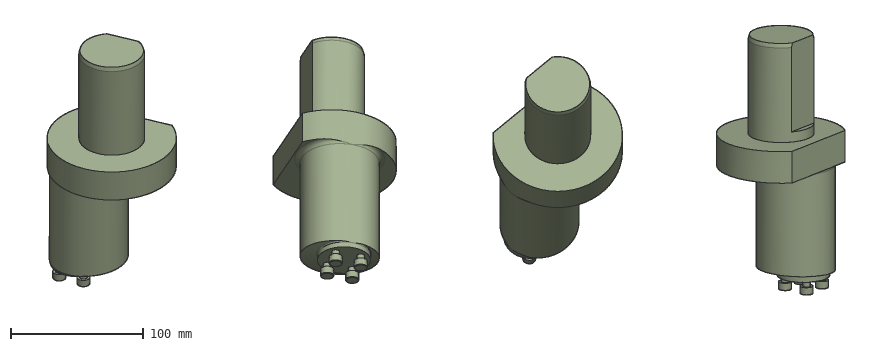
import cadquery as cq
import math


shank_diameter = 50.0
shank_length = 78.0
shank_flat_y = 20.2
shank_flat_start = 8.0
lead_in_length = 3.3
lead_in_angle = 15.0

flange_diameter = 98.0
flange_thickness = 25.0
flange_flat_y = 35.0

body_diameter = 60.0
body_fillet = 4.0
body_x = (body_diameter - flange_diameter) / 2

nose_diameter = 40.0
nose_thickness = 5.0
nose_cone_angle = 15.0
nose_fillet = 1.0
nose_x = (nose_diameter - flange_diameter) / 2

screw_diameter = 6.0
screw_gap = 4.53
screw_head_diameter = 10.0
screw_head_height = 6.0
screw_head_chamfer = 0.5
screw_spacing = 20.0

overall_height = 207.53

flange_bottom = -flange_thickness
screw_bottom = shank_length - overall_height
screw_head_top = screw_bottom + screw_head_height
nose_bottom = screw_head_top + screw_gap
nose_top = nose_bottom + nose_thickness


def cylinder(diameter, bottom, top, x=0.0, y=0.0):
    """Upright cylinder between two Z levels."""
    return cq.Workplane("XY", origin=(x, y, bottom)).circle(diameter / 2).extrude(top - bottom)


def cut_beyond_y(solid, y_limit, bottom, top):
    """Remove everything beyond y_limit between two Z levels."""
    depth = flange_diameter
    cutter = cq.Workplane("XY", origin=(0, y_limit + depth / 2, bottom))
    return solid.cut(cutter.rect(flange_diameter, depth).extrude(top - bottom))


def make_shank():
    lead_in_depth = lead_in_length * math.tan(math.radians(lead_in_angle))
    shank = cylinder(shank_diameter, flange_bottom, shank_length)
    shank = shank.faces(">Z").chamfer(lead_in_length, lead_in_depth)
    return cut_beyond_y(shank, shank_flat_y, shank_flat_start, shank_length)


def make_flange():
    flange = cylinder(flange_diameter, flange_bottom, 0)
    return cut_beyond_y(flange, flange_flat_y, flange_bottom, 0)


def make_body_fillet():
    """Concave ring where the body meets the flange, trimmed to the flange outline."""
    radius = body_diameter / 2
    fillet_bottom = flange_bottom - body_fillet
    outer = radius + body_fillet
    arc_offset = body_fillet * (1 - math.sqrt(0.5))
    ring = (
        cq.Workplane("XZ")
        .moveTo(0, fillet_bottom)
        .lineTo(radius, fillet_bottom)
        .threePointArc((radius + arc_offset, flange_bottom - arc_offset), (outer, flange_bottom))
        .lineTo(0, flange_bottom)
        .close()
        .revolve(360, (0, 0), (0, 1))
        .translate((body_x, 0, 0))
    )
    return ring.intersect(cylinder(flange_diameter, fillet_bottom, flange_bottom))


def make_body():
    """Cylinder whose lower end is cut by a shallow cone around the nose axis, with the nose disc below.

    A small concave fillet blends the cone into the side of the disc.
    """
    nose_radius = nose_diameter / 2
    angle = math.radians(nose_cone_angle)
    cone_radius = flange_diameter
    cone_top = nose_top + (cone_radius - nose_radius) * math.tan(angle)

    turn = math.pi / 2 - angle
    tangent_length = nose_fillet * math.tan(turn / 2)
    arc_center_x = nose_radius + nose_fillet
    arc_center_z = nose_top - tangent_length

    def arc_point(swept):
        return (
            arc_center_x - nose_fillet * math.cos(swept),
            arc_center_z + nose_fillet * math.sin(swept),
        )

    envelope = (
        cq.Workplane("XZ")
        .moveTo(0, nose_bottom)
        .lineTo(nose_radius, nose_bottom)
        .lineTo(*arc_point(0))
        .threePointArc(arc_point(turn / 2), arc_point(turn))
        .lineTo(cone_radius, cone_top)
        .lineTo(cone_radius, 0)
        .lineTo(0, 0)
        .close()
        .revolve(360, (0, 0), (0, 1))
        .translate((nose_x, 0, 0))
    )
    return cylinder(body_diameter, nose_bottom, flange_bottom, body_x).intersect(envelope)


def make_screw(x, y):
    head = cylinder(screw_head_diameter, screw_bottom, screw_head_top, x, y)
    head = head.faces("<Z").chamfer(screw_head_chamfer)
    return head.union(cylinder(screw_diameter, screw_head_top, nose_bottom, x, y))


result = make_flange().union(make_shank()).union(make_body()).union(make_body_fillet())
for x_side in (-1, 1):
    for y_side in (-1, 1):
        screw_x = nose_x + x_side * screw_spacing / 2
        screw_y = y_side * screw_spacing / 2
        result = result.union(make_screw(screw_x, screw_y))